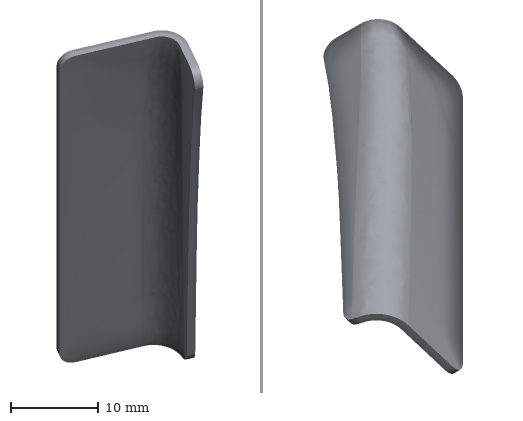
import cadquery as cq
import math

height = 48.8
width = 9.4
depth = 14.85
thickness = 1.02
corner_radius = 1.95

max_bulge = 0.75
free_edge_x = max_bulge

sections = [
    (0.0, 0.05, 4.65),
    (12.2, 0.35, 4.55),
    (24.4, 0.6, 4.4),
    (36.6, max_bulge, 4.05),
    (height, 0.0, 3.15),
]

taper_points = [
    (width, height - corner_radius),
    (8.6, 41.0),
    (7.9, 33.65),
    (7.25, 24.4),
    (6.9, 14.15),
    (6.5, corner_radius),
]


def bent_section(z, bulge, outer_radius):
    """Closed L-shaped wire with a bend tangent to the leaning long leg."""
    inner_radius = outer_radius - thickness
    center_y = depth - outer_radius
    lean = math.atan2(bulge, center_y)
    center_x = free_edge_x - bulge + outer_radius

    def bend_point(radius, angle):
        return (center_x - radius * math.cos(angle), center_y + radius * math.sin(angle))

    start = -lean
    end = math.pi / 2
    middle = (start + end) / 2
    return (
        cq.Workplane("XY", origin=(0, 0, z))
        .moveTo(free_edge_x, 0)
        .lineTo(*bend_point(outer_radius, start))
        .threePointArc(bend_point(outer_radius, middle), bend_point(outer_radius, end))
        .lineTo(width, depth)
        .lineTo(width, depth - thickness)
        .lineTo(*bend_point(inner_radius, end))
        .threePointArc(bend_point(inner_radius, middle), bend_point(inner_radius, start))
        .lineTo(free_edge_x + thickness, 0)
        .close()
        .wires()
        .val()
    )


def long_leg_outline():
    """Prism along X that rounds the two free corners of the long leg."""
    return (
        cq.Workplane("YZ")
        .rect(depth, height, centered=False)
        .extrude(width)
        .edges("|X and <Y")
        .fillet(corner_radius)
    )


def short_leg_outline():
    """Prism along Y with the tapered free edge and rounded free corners."""
    top_x = width - corner_radius
    bottom_x = taper_points[-1][0] - corner_radius
    diagonal = corner_radius * math.sqrt(0.5)
    return (
        cq.Workplane("XZ")
        .lineTo(0, height)
        .lineTo(top_x, height)
        .threePointArc((top_x + diagonal, height - corner_radius + diagonal), taper_points[0])
        .spline(taper_points[1:], includeCurrent=True)
        .threePointArc((bottom_x + diagonal, corner_radius - diagonal), (bottom_x, 0))
        .close()
        .extrude(-depth)
    )


bent_plate = cq.Workplane(cq.Solid.makeLoft([bent_section(*section) for section in sections]))
result = bent_plate.intersect(long_leg_outline()).intersect(short_leg_outline())